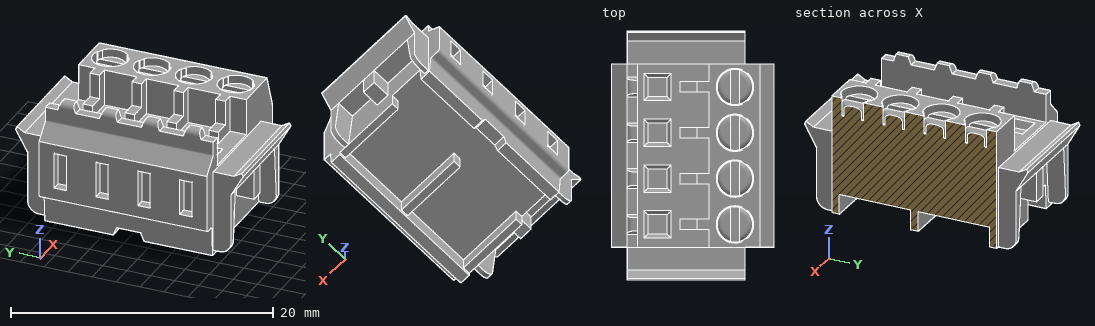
import cadquery as cq
import math

width = 12.4
length = 19.0
height = 10.4

body_length = 14.0
floor_z = 7.37
block_x = 7.43
bevel_top_x = 11.32
bevel_bottom_z = 7.5
base_z = 0.42

wall_outer_x = 1.2
wall_inner_x = 1.98
wall_top_z = 9.75
slope_top_z = 8.59
slope_bottom_z = 7.37
skirt_z = 2.5
skirt_radius = 0.27
skirt_inner_radius = 0.17
slope_radius = 0.19

front_foot_top_x = 0.93
front_foot_outer_x = 1.06
front_foot_inner_top_x = 2.09
recess_end_x = 5.07
recess_top_z = 2.09
rear_foot_inner_x = 10.74
rear_foot_outer_x = 11.65
rear_foot_top_x = 11.75
rear_foot_top_z = 1.88

pole_count = 4
pitch = 3.5

rib_width = 0.8
rib_x = 6.54
rib_step_x = 5.22
rib_step_z = 8.36

tab_top_width = 1.03
tab_base_width = 1.52
tab_radius = 0.5

pocket_x = 3.52
pocket_mouth = 2.09
pocket_size = 1.48
pocket_depth = 0.6

window_width = 1.03
window_bottom_z = 3.61
window_top_z = 6.6
window_depth = 0.78

screw_x = 9.42
well_diameter = 2.85
well_depth = 1.52
screw_diameter = 2.7
screw_flat_diameter = 1.9
screw_drop = 0.5
slot_width = 0.7
slot_depth = 0.53
lug_start_angle = 49.0
lug_end_angle = 68.0

flange_start_x = wall_outer_x
flange_end_x = 10.2
leg_reach = 8.5
flange_top_z = 7.18
lip_z = 7.56
lip_outer_z = 7.3
lip_top_reach = 9.39
lip_inner_reach = 8.74
hook_bottom_z = 5.51
leg_bottom_z = 0.4
leg_corner_radius = 0.95
front_leg_top_x = 1.98
front_leg_bottom_x = 1.58
rear_leg_top_x = 9.37
rear_leg_bottom_x = 9.78
stop_start_x = 5.55
stop_end_x = 6.69
stop_bottom_z = 3.02

notch_width = 2.56
notch_top_width = 2.0
notch_top_z = 0.7
end_wall = 0.63
tongue_width = 0.66


def box(x_range, y_range, z_range):
    """Box given by its start and end along each axis."""
    (x0, x1), (y0, y1), (z0, z1) = x_range, y_range, z_range
    return cq.Workplane("XY").box(x1 - x0, y1 - y0, z1 - z0, centered=False).translate((x0, y0, z0))


def centred(span, middle=0.0):
    """Start and end of a span about its middle."""
    return middle - span / 2, middle + span / 2


def extrude_along_y(outline, y_range):
    """Solid from an XZ outline, spanning a range of Y."""
    y0, y1 = y_range
    return outline.extrude(-(y1 - y0)).translate((0, y0, 0))


def make_housing():
    outline = cq.Workplane("XZ").polyline([
        (0, slope_bottom_z),
        (wall_outer_x, slope_top_z),
        (wall_outer_x, wall_top_z),
        (wall_inner_x, wall_top_z),
        (wall_inner_x, floor_z),
        (block_x, floor_z),
        (block_x, height),
        (bevel_top_x, height),
        (width, bevel_bottom_z),
        (width, rear_foot_top_z),
        (rear_foot_top_x, rear_foot_top_z),
        (rear_foot_outer_x, 0),
        (rear_foot_inner_x, 0),
        (rear_foot_inner_x, base_z),
        (recess_end_x, base_z),
        (recess_end_x, recess_top_z),
        (front_foot_inner_top_x, recess_top_z),
        (wall_inner_x, 0),
        (front_foot_outer_x, 0),
        (front_foot_top_x, skirt_z),
        (0, skirt_z),
    ]).close()
    housing = extrude_along_y(outline, centred(body_length))

    def round_edge(solid, x, z, radius):
        return solid.edges(cq.selectors.NearestToPointSelector((x, 0, z))).fillet(radius)

    housing = round_edge(housing, 0, skirt_z, skirt_radius)
    housing = round_edge(housing, front_foot_top_x, skirt_z, skirt_inner_radius)
    return round_edge(housing, wall_outer_x, slope_top_z, slope_radius)


def make_flange():
    """Hooked flange with two legs and a stop, on the +Y end."""
    root = body_length / 2
    profile = (
        cq.Workplane("YZ")
        .moveTo(root, flange_top_z)
        .lineTo(lip_inner_reach, flange_top_z)
        .lineTo(lip_top_reach, lip_z)
        .lineTo(length / 2, lip_outer_z)
        .lineTo(leg_reach, hook_bottom_z)
        .lineTo(leg_reach, leg_bottom_z + leg_corner_radius)
        .radiusArc((leg_reach - leg_corner_radius, leg_bottom_z), leg_corner_radius)
        .lineTo(root, leg_bottom_z)
        .close()
        .extrude(flange_end_x - flange_start_x)
        .translate((flange_start_x, 0, 0))
    )
    gap = extrude_along_y(
        cq.Workplane("XZ").polyline([
            (front_leg_bottom_x, leg_bottom_z),
            (front_leg_top_x, hook_bottom_z),
            (rear_leg_top_x, hook_bottom_z),
            (rear_leg_bottom_x, leg_bottom_z),
        ]).close(),
        (root, length / 2),
    )
    stop = box((stop_start_x, stop_end_x), (root, leg_reach), (stop_bottom_z, hook_bottom_z))
    return profile.cut(gap).union(stop)


def make_rib(y):
    """Stepped rib standing on the floor against the screw block."""
    y_range = centred(rib_width, y)
    step = box((rib_step_x, block_x), y_range, (floor_z, rib_step_z))
    return step.union(box((rib_x, block_x), y_range, (floor_z, height)))


def make_tab(y):
    """Tapered tab on the wall, rounded towards the wire side."""
    half_base = tab_base_width / 2
    half_top = tab_top_width / 2
    tab = (
        cq.Workplane("YZ")
        .polyline([
            (y - half_base, wall_top_z),
            (y + half_base, wall_top_z),
            (y + half_top, height),
            (y - half_top, height),
        ])
        .close()
        .extrude(wall_inner_x - wall_outer_x)
        .translate((wall_outer_x, 0, 0))
    )
    return tab.edges("<X and >Z").fillet(tab_radius)


def make_pocket(y):
    return (
        cq.Workplane("XY", origin=(pocket_x, y, floor_z))
        .rect(pocket_mouth, pocket_mouth)
        .workplane(offset=-pocket_depth)
        .rect(pocket_size, pocket_size)
        .loft(ruled=True)
    )


def make_window(y):
    return box((0, window_depth), centred(window_width, y), (window_bottom_z, window_top_z))


def make_well(y):
    """Round well with two lugs that close in on the screw head."""
    well_z = height - well_depth
    well = cq.Workplane("XY", origin=(screw_x, y, well_z)).circle(well_diameter / 2).extrude(well_depth)
    core = cq.Workplane("XY", origin=(screw_x, y, well_z)).circle(screw_diameter / 2).extrude(well_depth)

    def lug(side):
        reach = well_diameter
        rays = [
            (reach * math.cos(math.radians(angle)), side * reach * math.sin(math.radians(angle)))
            for angle in (lug_start_angle, lug_end_angle)
        ]
        sector = cq.Workplane("XY", origin=(screw_x, y, well_z)).polyline([(0, 0)] + rays).close()
        return sector.extrude(well_depth).cut(core)

    return well.cut(lug(1)).cut(lug(-1))


def make_screw(y):
    """Slotted screw head with a rounded rim, standing on the well floor."""
    top_z = height - screw_drop
    well_z = height - well_depth
    head = (
        cq.Workplane("XY", origin=(screw_x, y, well_z))
        .circle(screw_diameter / 2)
        .extrude(top_z - well_z)
        .faces(">Z")
        .edges()
        .fillet((screw_diameter - screw_flat_diameter) / 2)
    )
    slot = box(centred(slot_width, screw_x), centred(screw_diameter, y), (top_z - slot_depth, top_z))
    return head.cut(slot)


def make_foot_notch():
    """Tapered notch under the front foot."""
    half_base = notch_width / 2
    half_top = notch_top_width / 2
    return (
        cq.Workplane("YZ")
        .polyline([(-half_base, 0), (-half_top, notch_top_z), (half_top, notch_top_z), (half_base, 0)])
        .close()
        .extrude(front_foot_inner_top_x)
    )


def make_base_recess():
    """Hollow under the base between the end walls, split by a central tongue."""
    x_range = (recess_end_x, rear_foot_inner_x)
    z_range = (base_z, recess_top_z)
    recess = box(x_range, centred(body_length - 2 * end_wall), z_range)
    return recess.cut(box(x_range, centred(tongue_width), z_range))


flange = make_flange()
result = make_housing().union(flange).union(flange.mirror("XZ"))
result = result.cut(make_foot_notch()).cut(make_base_recess())

for pole in range(pole_count):
    pole_y = (pole - (pole_count - 1) / 2) * pitch
    result = result.union(make_rib(pole_y)).union(make_tab(pole_y))
    result = result.cut(make_pocket(pole_y)).cut(make_window(pole_y))
    result = result.cut(make_well(pole_y)).union(make_screw(pole_y))